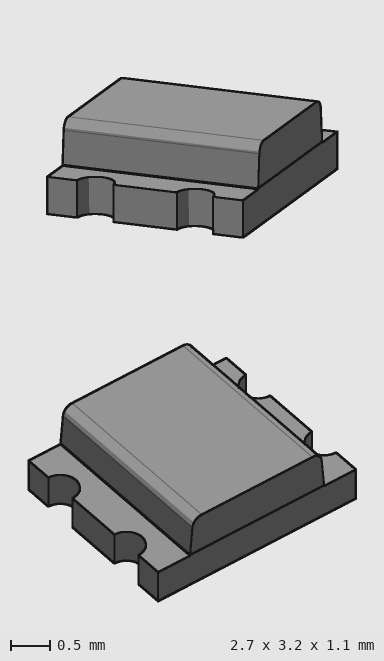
import cadquery as cq
import math

LENGTH_X = 2.7
LENGTH_Y = 3.2
HEIGHT = 1.1

BOARD_THICKNESS = 0.5
NOTCH_RADIUS = 0.25
NOTCH_OFFSET_X = 0.688
SHELF_HEIGHT = 0.013

LENS_BASE_Y = 2.17
LENS_DRAFT_DEGREES = 5
LENS_EDGE_RADIUS = 0.15
LENS_BASE_Z = BOARD_THICKNESS + SHELF_HEIGHT
LENS_HEIGHT = HEIGHT - LENS_BASE_Z


def make_board():
    """Flat board with a lens land and half-round notches in both Y ends."""
    board = cq.Workplane("XY").box(LENGTH_X, LENGTH_Y, BOARD_THICKNESS, centered=(True, True, False))
    land = (
        cq.Workplane("XY", origin=(0, 0, BOARD_THICKNESS))
        .box(LENGTH_X, LENS_BASE_Y, SHELF_HEIGHT, centered=(True, True, False))
    )
    notch_centers = [
        (side_x * NOTCH_OFFSET_X, side_y * LENGTH_Y / 2)
        for side_x in (-1, 1)
        for side_y in (-1, 1)
    ]
    notches = (
        cq.Workplane("XY")
        .pushPoints(notch_centers)
        .circle(NOTCH_RADIUS)
        .extrude(BOARD_THICKNESS)
    )
    return board.union(land).cut(notches)


def make_lens():
    """Full-width block with drafted Y sides and rounded upper long edges."""
    base_half = LENS_BASE_Y / 2
    top_half = base_half - LENS_HEIGHT * math.tan(math.radians(LENS_DRAFT_DEGREES))
    return (
        cq.Workplane("YZ", origin=(0, 0, LENS_BASE_Z))
        .moveTo(-base_half, 0)
        .lineTo(base_half, 0)
        .lineTo(top_half, LENS_HEIGHT)
        .lineTo(-top_half, LENS_HEIGHT)
        .close()
        .extrude(LENGTH_X / 2, both=True)
        .edges("|X and >Z")
        .fillet(LENS_EDGE_RADIUS)
    )


board = make_board()
lens = make_lens()

result = cq.Compound.makeCompound([board.val(), lens.val()])